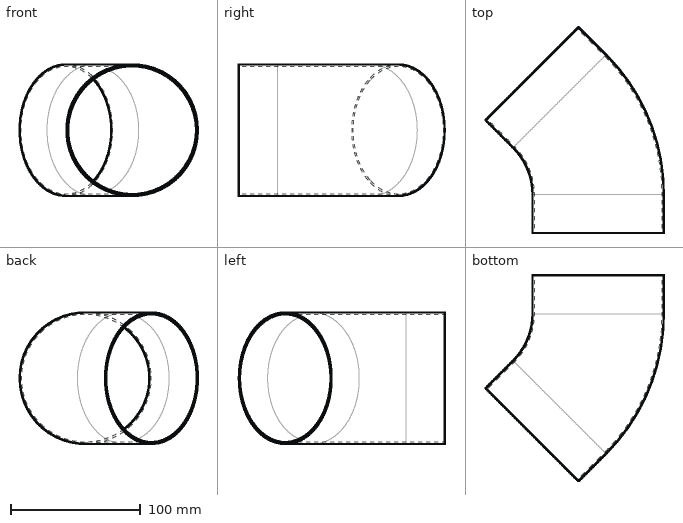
import cadquery as cq
import math

overall_length = 159.0
outer_diameter = 101.6
inner_diameter = 98.5
bend_angle = 45.0
bend_radius = outer_diameter

outer_radius = outer_diameter / 2
bend_sin = math.sin(math.radians(bend_angle))
bend_cos = math.cos(math.radians(bend_angle))
end_length = (overall_length - (bend_radius + outer_radius) * bend_sin) / (1 + bend_cos)


def bend_point(angle):
    """Centreline point after turning through the given angle in degrees."""
    turn = math.radians(angle)
    x = -bend_radius * (1 - math.cos(turn))
    y = end_length + bend_radius * math.sin(turn)
    return x, y


bend_end_x, bend_end_y = bend_point(bend_angle)
centreline = (
    cq.Workplane("XY")
    .lineTo(*bend_point(0))
    .threePointArc(bend_point(bend_angle / 2), (bend_end_x, bend_end_y))
    .lineTo(bend_end_x - end_length * bend_sin, bend_end_y + end_length * bend_cos)
)

result = (
    cq.Workplane("XZ")
    .circle(outer_radius)
    .circle(inner_diameter / 2)
    .sweep(centreline)
)